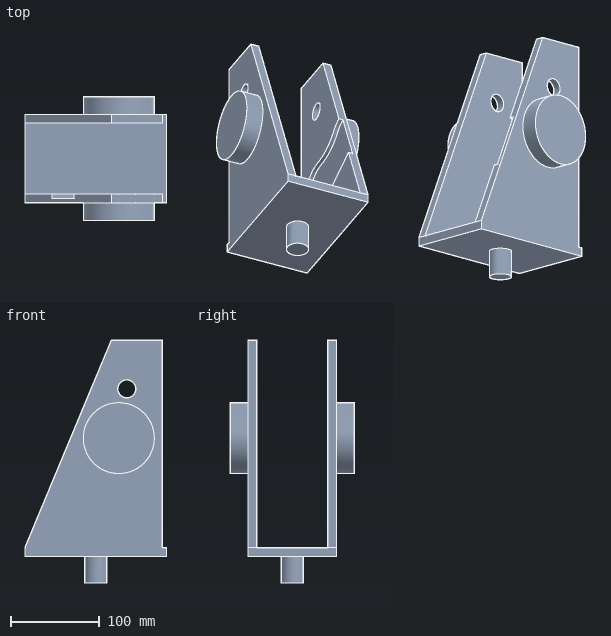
import cadquery as cq
import math

base_length = 160.0
base_width = 100.0
base_thickness = 10.0

plate_thickness = 10.0
plate_top_z = 244.0
plate_right_x = 155.0
slope_top_x = 97.5

boss_radius = 40.0
boss_length = 20.0
boss_x = 106.0
boss_z = 133.5

hole_diameter = 20.0
hole_x = 115.0
hole_z = 189.0

pin_diameter = 25.0
pin_length = 30.0
pin_x = base_length / 2

pocket_depth = 5.0
pocket_low_z = 83.0
pocket_high_z = 143.5
pocket_radius = 34.0
pocket_center_x = 112.0
cusp_x = 72.0
cusp_z = 132.0
upper_arc_radius = 35.0

inner_face_y = base_width / 2 - plate_thickness


def slope_x(z):
    """X of the sloped plate edge at height z."""
    return slope_top_x * (z - base_thickness) / (plate_top_z - base_thickness)


def y_cylinder(x, z, radius, y_start, length):
    """Cylinder along +Y starting at y_start."""
    return cq.Workplane(cq.Solid.makeCylinder(radius, length, cq.Vector(x, y_start, z), cq.Vector(0, 1, 0)))


def xz_prism(outline, y_start, thickness):
    """Extrude a closed XZ outline from y_start toward +Y."""
    return outline.extrude(-thickness).translate((0, y_start, 0))


def make_base():
    return cq.Workplane("XY").box(
        base_length, base_width, base_thickness, centered=(False, True, False)
    )


def make_side_plate(y_start):
    outline = (
        cq.Workplane("XZ")
        .moveTo(0, base_thickness)
        .lineTo(slope_top_x, plate_top_z)
        .lineTo(plate_right_x, plate_top_z)
        .lineTo(plate_right_x, base_thickness)
        .close()
    )
    return xz_prism(outline, y_start, plate_thickness)


def make_pin():
    return cq.Workplane("XY").center(pin_x, 0).circle(pin_diameter / 2).extrude(-pin_length)


def make_pocket():
    """Pocket body: round end, a straight lower wall tangent to it and a stepped, curved upper wall."""
    low_x = slope_x(pocket_low_z)
    high_x = slope_x(pocket_high_z)
    round_top_z = pocket_low_z + pocket_radius
    tangent_angle = math.asin(pocket_radius / (pocket_center_x - low_x))
    tangent_x = pocket_center_x - pocket_radius * math.sin(tangent_angle)
    tangent_z = pocket_low_z - pocket_radius * math.cos(tangent_angle)
    outline = (
        cq.Workplane("XZ")
        .moveTo(low_x, pocket_low_z)
        .lineTo(tangent_x, tangent_z)
        .threePointArc((pocket_center_x + pocket_radius, pocket_low_z), (pocket_center_x, round_top_z))
        .tangentArcPoint((cusp_x, cusp_z), relative=False)
        .radiusArc((high_x, pocket_high_z), -upper_arc_radius)
        .close()
    )
    return xz_prism(outline, -inner_face_y - pocket_depth, pocket_depth)


def make_bracket():
    body = make_base().union(make_pin())
    plate_starts = (-base_width / 2, inner_face_y)
    boss_starts = (-base_width / 2 - boss_length, base_width / 2)
    for plate_y, boss_y in zip(plate_starts, boss_starts):
        body = body.union(make_side_plate(plate_y))
        body = body.union(y_cylinder(boss_x, boss_z, boss_radius, boss_y, boss_length))
    cross_hole = y_cylinder(hole_x, hole_z, hole_diameter / 2, -base_width / 2, base_width)
    return body.cut(cross_hole).cut(make_pocket())


result = make_bracket()